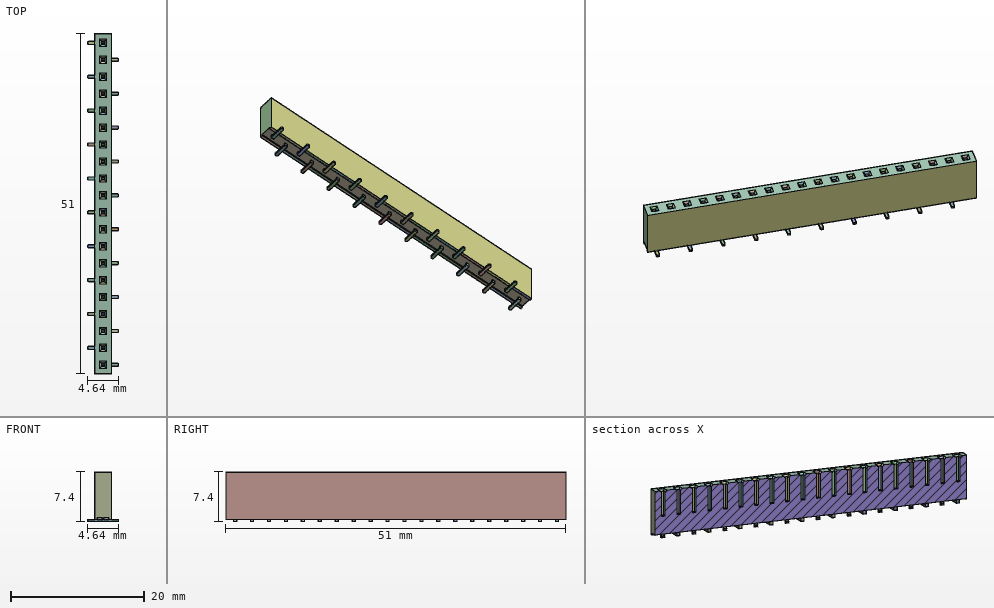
import cadquery as cq

POSITIONS = 20
PITCH = 2.54
OVERALL_HEIGHT = 7.4
TAIL_SPAN = 4.64

HOUSING_WIDTH = 2.54
HOUSING_LENGTH = 51.0
STANDOFF = 0.3
HOUSING_HEIGHT = OVERALL_HEIGHT - STANDOFF

CHANNEL_WIDTH = 1.7
CHANNEL_DEPTH = 0.25

FUNNEL_MOUTH = 1.1
SOCKET_SIZE = 0.54
FUNNEL_DEPTH = (FUNNEL_MOUTH - SOCKET_SIZE) / 2
SOCKET_DEPTH = 4.0
PILOT_SIZE = 0.25
PILOT_DEPTH = 1.0

TAIL_WIDTH = 0.5
TAIL_THICKNESS = 0.3
TIP_RADIUS = 0.2
POST_THICKNESS = 0.25
POST_EMBED = 0.5

SOCKET_CENTRES = [(i - (POSITIONS - 1) / 2) * PITCH for i in range(POSITIONS)]


def make_housing():
    """Rectangular bar with a shallow channel along its underside."""
    housing = (
        cq.Workplane("XY")
        .workplane(offset=STANDOFF)
        .rect(HOUSING_WIDTH, HOUSING_LENGTH)
        .extrude(HOUSING_HEIGHT)
    )
    channel = (
        cq.Workplane("XY")
        .workplane(offset=STANDOFF)
        .rect(CHANNEL_WIDTH, HOUSING_LENGTH)
        .extrude(CHANNEL_DEPTH)
    )
    return housing.cut(channel)


def square_bore(y, size, top, depth):
    """Straight square prism going down from height top."""
    return (
        cq.Workplane("XY")
        .workplane(offset=top - depth)
        .center(0, y)
        .rect(size, size)
        .extrude(depth)
    )


def make_socket(y):
    """Square socket with a tapered lead-in at the top face and a pilot in its floor."""
    funnel = (
        cq.Workplane("XY")
        .workplane(offset=OVERALL_HEIGHT)
        .center(0, y)
        .rect(FUNNEL_MOUTH, FUNNEL_MOUTH)
        .workplane(offset=-FUNNEL_DEPTH)
        .rect(SOCKET_SIZE, SOCKET_SIZE)
        .loft(ruled=True)
    )
    bore = square_bore(y, SOCKET_SIZE, OVERALL_HEIGHT - FUNNEL_DEPTH, SOCKET_DEPTH - FUNNEL_DEPTH)
    pilot = square_bore(y, PILOT_SIZE, OVERALL_HEIGHT - SOCKET_DEPTH, PILOT_DEPTH)
    return funnel.union(bore).union(pilot)


def make_contact(y, side):
    """Upright post into the channel roof, with a flat tail towards side (+1 or -1) in X."""
    tip_face = ">X" if side > 0 else "<X"
    post_face = POST_THICKNESS / 2
    tail_length = TAIL_SPAN / 2 - post_face
    tail = (
        cq.Workplane("XY")
        .center(side * (post_face + tail_length / 2), y)
        .rect(tail_length, TAIL_WIDTH)
        .extrude(TAIL_THICKNESS)
        .edges(f"|Z and {tip_face}")
        .fillet(TIP_RADIUS)
    )
    post_height = STANDOFF + CHANNEL_DEPTH + POST_EMBED
    post = (
        cq.Workplane("XY")
        .center(0, y)
        .rect(POST_THICKNESS, TAIL_WIDTH)
        .extrude(post_height)
    )
    return tail.union(post)


result = make_housing()
for index, centre in enumerate(SOCKET_CENTRES):
    tail_side = 1 if index % 2 == 0 else -1
    result = result.cut(make_socket(centre))
    result = result.union(make_contact(centre, tail_side))